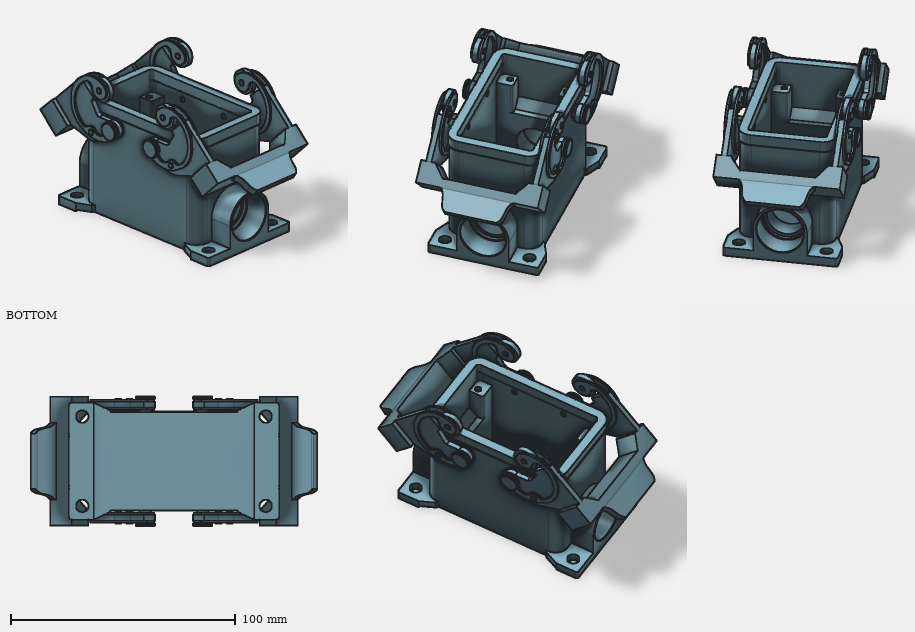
import cadquery as cq
import math

HOUSING_LENGTH = 70.8
HOUSING_WIDTH = 43.6
HOUSING_BOTTOM = 0.8
HOUSING_TOP = 56.8
HOUSING_CORNER = 6.4
RIM_OVERHANG = 0.4
RIM_BOTTOM = 51.6
CAVITY_LENGTH = 63.0
CAVITY_WIDTH = 35.8
CAVITY_CORNER = 1.5
UNDERCUT = 0.6
LOWER_CAVITY_WIDTH = CAVITY_WIDTH + 2 * UNDERCUT
LOWER_CAVITY_CORNER = 2.4
CAVITY_FLOOR = 3.8

POST_SIZE = 7.3
POST_TOP = 45.6
POST_CORNER = 1.3
POST_HOLE_X = 28.5
POST_HOLE_Y = 13.5
POST_HOLE_DIAMETER = 2.8
POST_HOLE_DEPTH = 12.8
DRILL_POINT_ANGLE = math.radians(118)
LEDGE_TOP = 30.3
RAMP_SIZE = 4.2

ENTRY_END = 46.8
ENTRY_AXIS_Z = 15.4
ENTRY_RADIUS = 12.3
MOUTH_RADIUS = 11.0
MOUTH_DEPTH = 0.4
SOCKET_RADIUS = 10.8
SOCKET_DEPTH = 11.5
SEAT_RADIUS = 10.1
SEAT_DEPTH = 13.5
PASSAGE_RADIUS = 8.7

FOOT_HALF_WIDTH = 26.1
FOOT_TOP = 4.2
FOOT_PAD_INNER = 35.8
FOOT_GUSSET_INNER = 27.8
FOOT_GUSSET_CORNER = (28.8, 22.9)
FOOT_CORNER = 1.2
FOOT_HOLE_X = 41.0
FOOT_HOLE_Y = 20.0
FOOT_HOLE_DIAMETER = 5.5

ARM_Y = 25.2
ARM_THICKNESS = 2.5
HOOK_THICKNESS = 1.0
STACK_THICKNESS = ARM_THICKNESS + 2 * HOOK_THICKNESS
PIVOT = (-12.8, 47.7)
PIVOT_RADIUS = 4.4
PIVOT_HEAD_FACE = 28.99
PIVOT_HEAD_CHAMFER = 0.4
PIVOT_EYE_RADIUS = PIVOT_RADIUS - PIVOT_HEAD_CHAMFER
ARM_NECK_TOP = PIVOT[1] + PIVOT_EYE_RADIUS
SPACER_RADIUS = 2.7
PIN_RADIUS = 1.4
PIN_RECESS = 0.6
ROLLER = (-19.8, 65.3)
ROLLER_RADIUS = 5.6
RIVET = (-24.8, 43.3)
RIVET_RADIUS = 1.4
RIVET_CHAMFER = 0.3
RIVET_PROUD = 0.4

BAR_TOP_CORNER = (-47.9, 52.1)
BAR_ANGLE = 44.5
BAR_LENGTH = 10.4
BAR_DEPTH = 13.8
BAR_WIDTH = 57.6
BAR_NOTCH_DEPTH = 6.1
BAR_NOTCH_TOP_WIDTH = 44.3
BAR_NOTCH_BOTTOM_WIDTH = 34.3
TAB_ANGLE = 34.7
TAB_LENGTH = 10.6
TAB_THICKNESS = 3.8
TAB_ROOT_HALF_WIDTH = 17.2
TAB_TIP_HALF_WIDTH = 12.3
TAB_OVERLAP = 1.3
TAB_EDGE_ROUND = 0.6


def upright_box(length, width, bottom, top, corner):
    block = cq.Workplane("XY").workplane(offset=bottom).rect(length, width).extrude(top - bottom)
    return block.edges("|Z").fillet(corner)


def layer(outline, center_y, thickness):
    """Extrude an XZ-plane outline into a plate centred on center_y."""
    return outline.extrude(thickness / 2, both=True).translate((0, center_y, 0))


def disc(center, radius, center_y, thickness):
    return layer(cq.Workplane("XZ").center(*center).circle(radius), center_y, thickness)


def both_ends(shape):
    return shape.union(shape.mirror("YZ"))


def four_way(shape):
    return both_ends(shape.union(shape.mirror("XZ")))


def make_feet():
    half_width = HOUSING_WIDTH / 2
    strip_outline = [
        (-ENTRY_END, 0),
        (-ENTRY_END, FOOT_HALF_WIDTH),
        (-FOOT_PAD_INNER, FOOT_HALF_WIDTH),
        (-FOOT_GUSSET_CORNER[0], FOOT_GUSSET_CORNER[1]),
        (-FOOT_GUSSET_INNER, half_width),
        (-FOOT_GUSSET_INNER, 0),
    ]
    foot = cq.Workplane("XY").workplane(offset=HOUSING_BOTTOM).polyline(strip_outline).close()
    foot = foot.extrude(FOOT_TOP - HOUSING_BOTTOM)
    pad = cq.Workplane("XY").box(ENTRY_END - FOOT_PAD_INNER, FOOT_HALF_WIDTH, FOOT_TOP, centered=False)
    foot = foot.union(pad.translate((-ENTRY_END, 0, 0)))
    corner = cq.selectors.NearestToPointSelector((-ENTRY_END, FOOT_HALF_WIDTH, FOOT_TOP / 2))
    foot = foot.edges("|Z").edges(corner).fillet(FOOT_CORNER)
    hole = cq.Workplane("XY").center(-FOOT_HOLE_X, FOOT_HOLE_Y).circle(FOOT_HOLE_DIAMETER / 2)
    return four_way(foot.cut(hole.extrude(FOOT_TOP)))


def make_entries():
    """Arched bosses that carry the cable sockets on both end walls."""
    arch = (
        cq.Workplane("YZ")
        .moveTo(-ENTRY_RADIUS, HOUSING_BOTTOM)
        .lineTo(-ENTRY_RADIUS, ENTRY_AXIS_Z)
        .threePointArc((0, ENTRY_AXIS_Z + ENTRY_RADIUS), (ENTRY_RADIUS, ENTRY_AXIS_Z))
        .lineTo(ENTRY_RADIUS, HOUSING_BOTTOM)
        .close()
    )
    boss_length = ENTRY_END - CAVITY_LENGTH / 2
    return both_ends(arch.extrude(boss_length).translate((-ENTRY_END, 0, 0)))


def make_entry_bores():
    """Stepped bores: shallow mouth, socket, gland seat, then the passage into the cavity."""
    bores = cq.Workplane("YZ")
    steps = [
        (MOUTH_RADIUS, MOUTH_DEPTH),
        (SOCKET_RADIUS, SOCKET_DEPTH),
        (SEAT_RADIUS, SEAT_DEPTH),
        (PASSAGE_RADIUS, ENTRY_END),
    ]
    for radius, depth in steps:
        bores = bores.union(cq.Workplane("YZ").circle(radius).extrude(depth))
    return both_ends(bores.translate((-ENTRY_END, 0, ENTRY_AXIS_Z)))


def make_cavity_supports():
    wall_x = CAVITY_LENGTH / 2
    wall_y = CAVITY_WIDTH / 2
    post = cq.Workplane("XY").box(POST_SIZE, POST_SIZE + UNDERCUT, POST_TOP - CAVITY_FLOOR, centered=False)
    post = post.translate((-wall_x, wall_y - POST_SIZE, CAVITY_FLOOR))
    post = post.edges("|Z and >X and <Y").fillet(POST_CORNER)
    hole_radius = POST_HOLE_DIAMETER / 2
    hole_outline = [
        (0, POST_TOP),
        (hole_radius, POST_TOP),
        (hole_radius, POST_TOP - POST_HOLE_DEPTH),
        (0, POST_TOP - POST_HOLE_DEPTH - hole_radius / math.tan(DRILL_POINT_ANGLE / 2)),
    ]
    hole = cq.Workplane("XZ").polyline(hole_outline).close().revolve(360, (0, 0), (0, 1))
    hole = hole.translate((-POST_HOLE_X, POST_HOLE_Y, 0))
    ledge_outline = [
        (-wall_x, CAVITY_FLOOR),
        (-wall_x, LEDGE_TOP + RAMP_SIZE),
        (-wall_x + RAMP_SIZE, LEDGE_TOP),
        (-wall_x + POST_SIZE, LEDGE_TOP),
        (-wall_x + POST_SIZE, CAVITY_FLOOR),
    ]
    ledge_width = 2 * (wall_y - POST_SIZE + POST_CORNER)
    ledge = layer(cq.Workplane("XZ").polyline(ledge_outline).close(), 0, ledge_width)
    return four_way(post.cut(hole)).union(both_ends(ledge))


def make_housing():
    body = upright_box(HOUSING_LENGTH, HOUSING_WIDTH, HOUSING_BOTTOM, HOUSING_TOP, HOUSING_CORNER)
    rim = upright_box(
        HOUSING_LENGTH + 2 * RIM_OVERHANG,
        HOUSING_WIDTH + 2 * RIM_OVERHANG,
        RIM_BOTTOM,
        HOUSING_TOP,
        HOUSING_CORNER,
    )
    cavity = upright_box(CAVITY_LENGTH, CAVITY_WIDTH, CAVITY_FLOOR, HOUSING_TOP, CAVITY_CORNER)
    pin_recess = disc(PIVOT, PIN_RADIUS, 0, LOWER_CAVITY_WIDTH + 2 * PIN_RECESS)
    cavity = cavity.union(
        upright_box(CAVITY_LENGTH, LOWER_CAVITY_WIDTH, CAVITY_FLOOR, RIM_BOTTOM, LOWER_CAVITY_CORNER)
    )
    shell = body.union(rim).union(make_feet()).union(make_entries())
    shell = shell.cut(cavity).cut(both_ends(pin_recess))
    return shell.union(make_cavity_supports()).cut(make_entry_bores())


def arm_plate_outline():
    """Side plate from the crossbar to the pivot."""
    return (
        cq.Workplane("XZ")
        .moveTo(*BAR_TOP_CORNER)
        .lineTo(-32.4, 67.5)
        .lineTo(-24.3, 60.2)
        .lineTo(-25.6, 58.0)
        .lineTo(-22.7, 53.0)
        .threePointArc((-22.0, 52.3), (-21.0, ARM_NECK_TOP))
        .lineTo(PIVOT[0], ARM_NECK_TOP)
        .lineTo(PIVOT[0], PIVOT[1] - PIVOT_EYE_RADIUS)
        .lineTo(-19.6, 40.3)
        .threePointArc((-23.0, 38.8), (-26.7, 38.7))
        .lineTo(-38.4, 42.1)
        .close()
    )


def hook_outline():
    """Crescent from the pivot, round the back of the lever, to the roller."""
    return (
        cq.Workplane("XZ")
        .moveTo(-11.8, 43.6)
        .threePointArc((-20.9, 40.3), (-29.8, 43.0))
        .threePointArc((-35.3, 48.1), (-37.2, 56.3))
        .threePointArc((-34.2, 65.7), (-26.2, 70.7))
        .threePointArc((-21.0, 70.5), (-16.9, 68.3))
        .threePointArc((-17.4, 61.8), (-24.0, 65.3))
        .threePointArc((-25.5, 67.3), (-27.6, 67.7))
        .threePointArc((-33.3, 62.7), (-35.3, 55.7))
        .threePointArc((-34.0, 50.0), (-30.7, 45.7))
        .threePointArc((-29.2, 44.8), (-27.4, 45.0))
        .threePointArc((-24.8, 46.0), (-22.7, 44.3))
        .threePointArc((-19.7, 43.1), (-16.4, 45.5))
        .close()
    )


def make_arm():
    """Arm assembly on the +Y side, with its pivot, roller and rivets."""
    arm = layer(arm_plate_outline(), ARM_Y, ARM_THICKNESS)
    arm = arm.union(disc(PIVOT, PIVOT_RADIUS, ARM_Y, ARM_THICKNESS))
    hook_offset = (ARM_THICKNESS + HOOK_THICKNESS) / 2
    for hook_y in (ARM_Y - hook_offset, ARM_Y + hook_offset):
        arm = arm.union(layer(hook_outline(), hook_y, HOOK_THICKNESS))
        arm = arm.union(disc(PIVOT, PIVOT_EYE_RADIUS, hook_y, HOOK_THICKNESS))
    arm = arm.union(disc(ROLLER, ROLLER_RADIUS, ARM_Y, ARM_THICKNESS))
    for rivet_center in (ROLLER, RIVET):
        rivet = disc(rivet_center, RIVET_RADIUS, ARM_Y, STACK_THICKNESS + 2 * RIVET_PROUD)
        arm = arm.union(rivet.edges().chamfer(RIVET_CHAMFER))

    head_base = ARM_Y + STACK_THICKNESS / 2
    head_height = PIVOT_HEAD_FACE - head_base
    head = disc(PIVOT, PIVOT_RADIUS, head_base + head_height / 2, head_height)
    arm = arm.union(head.edges().chamfer(PIVOT_HEAD_CHAMFER))

    wall_y = HOUSING_WIDTH / 2
    return arm.union(disc(PIVOT, SPACER_RADIUS, (wall_y + ARM_Y) / 2, ARM_Y - wall_y))


def make_crossbar():
    slope = math.radians(BAR_ANGLE)
    top_edge = (BAR_TOP_CORNER[0], 0, BAR_TOP_CORNER[1])
    inward = (math.sin(slope), 0, -math.cos(slope))
    face = cq.Workplane(cq.Plane(origin=top_edge, xDir=(0, -1, 0), normal=inward))
    outline = [
        (-BAR_WIDTH / 2, 0),
        (-BAR_NOTCH_TOP_WIDTH / 2, 0),
        (-BAR_NOTCH_BOTTOM_WIDTH / 2, BAR_NOTCH_DEPTH),
        (BAR_NOTCH_BOTTOM_WIDTH / 2, BAR_NOTCH_DEPTH),
        (BAR_NOTCH_TOP_WIDTH / 2, 0),
        (BAR_WIDTH / 2, 0),
        (BAR_WIDTH / 2, BAR_LENGTH),
        (-BAR_WIDTH / 2, BAR_LENGTH),
    ]
    return face.polyline(outline).close().extrude(BAR_DEPTH)


def make_tab():
    """Thumb tab with flared roots and rounded tip corners."""
    bar_slope = math.radians(BAR_ANGLE)
    slope = math.radians(TAB_ANGLE)
    root = (
        BAR_TOP_CORNER[0] - BAR_LENGTH * math.cos(bar_slope),
        0,
        BAR_TOP_CORNER[1] - BAR_LENGTH * math.sin(bar_slope),
    )
    outward = (-math.cos(slope), 0, -math.sin(slope))
    underside = (math.sin(slope), 0, -math.cos(slope))
    plate = cq.Workplane(cq.Plane(origin=root, xDir=outward, normal=underside))
    half = (
        plate.moveTo(-TAB_OVERLAP, 0)
        .lineTo(-TAB_OVERLAP, TAB_ROOT_HALF_WIDTH)
        .lineTo(0, TAB_ROOT_HALF_WIDTH)
        .threePointArc((1.8, 15.7), (4.1, 15.0))
        .lineTo(7.3, 14.3)
        .threePointArc((9.5, 13.5), (TAB_LENGTH, TAB_TIP_HALF_WIDTH))
        .lineTo(TAB_LENGTH, 0)
        .close()
        .extrude(TAB_THICKNESS)
    )
    tab = half.union(half.mirror("XZ"))
    tip = cq.selectors.DirectionMinMaxSelector(cq.Vector(outward), True)
    return tab.faces(tip).edges("|Y").edges("<Z").fillet(TAB_EDGE_ROUND)


def make_lever():
    arm = make_arm()
    return make_crossbar().union(make_tab()).union(arm).union(arm.mirror("XZ"))


result = make_housing().union(both_ends(make_lever()))